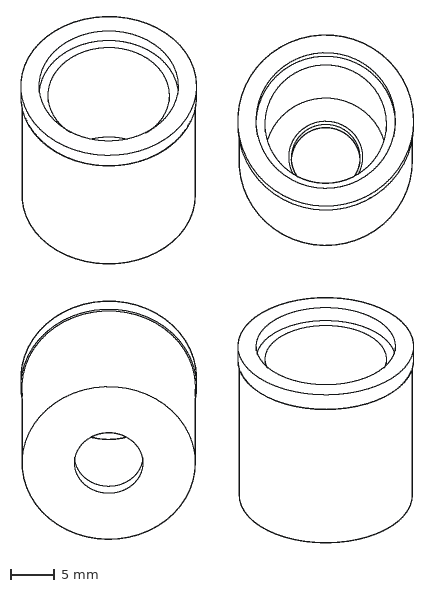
import cadquery as cq

height = 20.6
body_diameter = 20.0
collar_diameter = 20.3
collar_height = 2.15
collar_step = (collar_diameter - body_diameter) / 2

recess_diameter = 16.07
recess_depth = 1.8
bore_diameter = 14.0
floor_thickness = 2.0
hole_diameter = 7.91
hole_chamfer = 0.3


def cylinder(diameter, bottom, top):
    """Vertical cylinder centred on the Z axis between two heights."""
    return cq.Workplane("XY").workplane(offset=bottom).circle(diameter / 2).extrude(top - bottom)


body = cylinder(body_diameter, 0, height)
collar = cylinder(collar_diameter, height - collar_height, height)
collar = collar.faces("<Z").chamfer(collar_step)
sleeve = body.union(collar)

hole = cylinder(hole_diameter, 0, floor_thickness)
mouth = (
    cq.Workplane("XY")
    .workplane(offset=floor_thickness - hole_chamfer)
    .circle(hole_diameter / 2)
    .workplane(offset=hole_chamfer)
    .circle(hole_diameter / 2 + hole_chamfer)
    .loft()
)

result = (
    sleeve
    .cut(cylinder(recess_diameter, height - recess_depth, height))
    .cut(cylinder(bore_diameter, floor_thickness, height))
    .cut(hole)
    .cut(mouth)
)